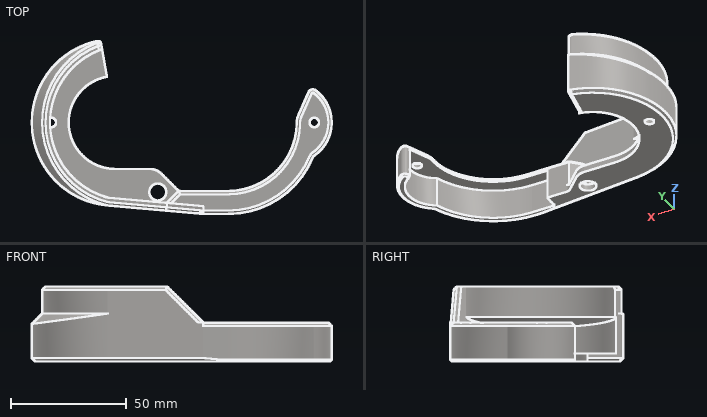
import cadquery as cq
import math

TOTAL_HEIGHT = 32.4
ARM_HEIGHT = 16.8
WALL_THICKNESS = 3.4
FLOOR_THICKNESS = WALL_THICKNESS

RING_RADIUS = 36.0
BORE_RADIUS = 20.0
RING_END_ANGLE = 100.0
RING_END_FILLET = 1.5

STEP_WIDTH = 4.5
STEP_BOTTOM = TOTAL_HEIGHT / 2
STEP_TOP = STEP_BOTTOM + STEP_WIDTH

ARM_CENTER_X = 48.8
ARM_OUTER_RADIUS = 39.5
ARM_INNER_RADIUS = 29.5
WALL_END_X = 38.0

LOBE_RADIUS = 17.35
LOBE_END_X = 93.49
TIP_LEAN = 24.0
TIP_BEND_RADIUS = 7.5
TIP_FILLET = 2.0
LOBE_NECK_FILLET = 2.0

ARM_PLATE_THICKNESS = 2.45

WEB_FILLET = 7.0
WEB_CORNER_FILLET = 2.5
WEB_CORNER = (27.4, -ARM_INNER_RADIUS)

EDGE_CHAMFER = 1.5
ARM_BOTTOM_CHAMFER = 0.8

PIN_HOLE_DIAMETER = 4.0
PIN_HOLE_CENTERS = [(-27.5, 0), (85.9, 0)]
PIVOT_HOLE_DIAMETER = 7.2
PIVOT_HOLE_CENTER = (18.4, -30.0)

FAR_X = 110.0


def polar(radius, degrees, center_x=0.0):
    angle = math.radians(degrees)
    return (center_x + radius * math.cos(angle), radius * math.sin(angle))


corner_distance = math.hypot(WALL_END_X, ARM_OUTER_RADIUS)
WALL_SLANT = math.degrees(
    math.acos(RING_RADIUS / corner_distance) - math.atan2(WALL_END_X, ARM_OUTER_RADIUS)
)
TANGENT_ANGLE = 270.0 - WALL_SLANT
TANGENT_X, TANGENT_Y = polar(RING_RADIUS, TANGENT_ANGLE)

narrow_left = RING_RADIUS - STEP_WIDTH
NARROW_RADIUS = ((narrow_left + TANGENT_X) ** 2 + TANGENT_Y**2) / (2 * (narrow_left + TANGENT_X))
NARROW_CENTER_X = NARROW_RADIUS - narrow_left

LOBE_CENTER_X = LOBE_END_X - LOBE_RADIUS


def arc_wall_hit(radius, center_x, inset):
    """Point where an arc centred on the X axis runs into the straight wall, moved in by inset."""
    normal_x, normal_y = polar(1.0, TANGENT_ANGLE)
    along = RING_RADIUS - inset - center_x * normal_x
    across = math.sqrt(max(radius**2 - along**2, 0.0))
    return (
        center_x + along * normal_x + across * normal_y,
        along * normal_y - across * normal_x,
    )


def arc_end_hit(radius, center_x):
    """Point where an arc centred on the X axis meets the radial end plane of the ring."""
    end_x, end_y = polar(1.0, RING_END_ANGLE)
    reach = center_x * end_x + math.sqrt(radius**2 - (center_x * end_y) ** 2)
    return (reach * end_x, reach * end_y)


def region_inside_wall(radius, center_x, inset, bottom, top):
    """Prism of everything inside a wall face made of the ring arc and the straight wall.

    The far side is left open: it runs past the arm, so only the wall face trims the part.
    """
    bore_end = polar(BORE_RADIUS, RING_END_ANGLE)
    wall_start = arc_wall_hit(radius, center_x, inset)
    wall_drop = (FAR_X - wall_start[0]) * math.tan(math.radians(WALL_SLANT))
    return (
        cq.Workplane("XY", origin=(0, 0, bottom))
        .moveTo(*arc_end_hit(radius, center_x))
        .threePointArc((center_x - radius, 0), wall_start)
        .lineTo(FAR_X, wall_start[1] - wall_drop)
        .lineTo(FAR_X, bore_end[1])
        .lineTo(*bore_end)
        .close()
        .extrude(top - bottom)
    )


def wall_rim_edges():
    """Selects, on a flat face, the edges along the wall face and the ring end."""
    ring = cq.selectors.BoxSelector((-FAR_X, -FAR_X, -FAR_X), (0, FAR_X, FAR_X))
    straight = cq.selectors.BoxSelector((0, -FAR_X, -FAR_X), (FAR_X / 2 + 1, -BORE_RADIUS, FAR_X))
    return ring + straight


def sloping_end_edge():
    """Selects the outer edge of the wall's 45 degree end."""
    middle_z = (ARM_HEIGHT + TOTAL_HEIGHT) / 2
    middle_x = WALL_END_X - (middle_z - ARM_HEIGHT)
    middle_y = TANGENT_Y - (middle_x - TANGENT_X) * math.tan(math.radians(WALL_SLANT))
    return cq.selectors.NearestToPointSelector((middle_x, middle_y, middle_z))


def fillet_upright_edge(body, corner, radius):
    middle_z = body.val().BoundingBox().center.z
    nearest = cq.selectors.NearestToPointSelector((*corner, middle_z))
    return body.edges("|Z").edges(nearest).fillet(radius)


def step_cone(inset):
    """Cone that joins the ring radius to the narrowed wall, with a block over the straight wall."""
    top_radius = NARROW_RADIUS - inset
    top = STEP_TOP - inset * math.tan(math.pi / 8)
    bottom_radius = top_radius + STEP_WIDTH
    cone = (
        cq.Workplane("XZ")
        .polyline([
            (0, top - STEP_WIDTH),
            (bottom_radius, top - STEP_WIDTH),
            (top_radius, top),
            (0, top),
        ])
        .close()
        .revolve(360, (0, 0, 0), (0, 1, 0))
        .translate((NARROW_CENTER_X, 0, 0))
    )
    straight_start = arc_wall_hit(RING_RADIUS - inset, 0, inset)[0]
    block = cq.Workplane("XY").box(
        FAR_X, FAR_X, STEP_WIDTH, centered=(False, True, False)
    ).translate((straight_start, 0, top - STEP_WIDTH))
    return cone.union(block), top - STEP_WIDTH, top


def build_envelope():
    """Solid bounded by the outer wall face, the step, the sloping wall end and their chamfers."""
    cone, cone_bottom, cone_top = step_cone(0)
    lower = region_inside_wall(RING_RADIUS, 0, 0, 0, cone_top)
    lower = fillet_upright_edge(lower, arc_end_hit(RING_RADIUS, 0), RING_END_FILLET)
    lower = lower.faces("<Z").edges(wall_rim_edges()).chamfer(EDGE_CHAMFER)
    above_step = cq.Workplane("XY").box(
        4 * FAR_X, 4 * FAR_X, cone_top - cone_bottom, centered=(True, True, False)
    ).translate((0, 0, cone_bottom))
    lower = lower.cut(above_step.cut(cone))

    shoulder = TOTAL_HEIGHT - EDGE_CHAMFER
    upper = region_inside_wall(NARROW_RADIUS, NARROW_CENTER_X, 0, cone_top, shoulder)
    narrow_end = arc_end_hit(NARROW_RADIUS, NARROW_CENTER_X)
    upper = fillet_upright_edge(upper, narrow_end, RING_END_FILLET)
    rim_chamfer = upper.faces(">Z").wires().toPending().extrude(EDGE_CHAMFER, combine=False, taper=45)
    return lower.union(upper).union(rim_chamfer).intersect(build_sloping_end())


def build_sloping_end():
    """Block behind the plane of the straight wall, cut to the wall's 45 degree end and chamfered."""
    slant = math.tan(math.radians(WALL_SLANT))
    block = (
        cq.Workplane("XY")
        .moveTo(-FAR_X, TANGENT_Y + (FAR_X + TANGENT_X) * slant)
        .lineTo(FAR_X, TANGENT_Y - (FAR_X - TANGENT_X) * slant)
        .lineTo(FAR_X, FAR_X)
        .lineTo(-FAR_X, FAR_X)
        .close()
        .extrude(TOTAL_HEIGHT)
        .cut(above_sloping_end())
    )
    return block.edges(sloping_end_edge()).chamfer(EDGE_CHAMFER)


def above_sloping_end():
    """Space above the 45 degree end of the wall and above the arm."""
    slope_run = TOTAL_HEIGHT - ARM_HEIGHT
    return (
        cq.Workplane("XZ")
        .polyline([
            (WALL_END_X - slope_run, TOTAL_HEIGHT),
            (WALL_END_X, ARM_HEIGHT),
            (FAR_X, ARM_HEIGHT),
            (FAR_X, TOTAL_HEIGHT),
        ])
        .close()
        .extrude(FAR_X, both=True)
    )


def build_cavity():
    """Space inside the wall, which keeps the same thickness past the step."""
    cone, cone_bottom, cone_top = step_cone(WALL_THICKNESS)
    inner_radius = RING_RADIUS - WALL_THICKNESS
    narrow_radius = NARROW_RADIUS - WALL_THICKNESS
    lower = region_inside_wall(inner_radius, 0, WALL_THICKNESS, 0, cone_bottom)
    middle = region_inside_wall(inner_radius, 0, WALL_THICKNESS, cone_bottom, cone_top)
    upper = region_inside_wall(
        narrow_radius, NARROW_CENTER_X, WALL_THICKNESS, cone_top, TOTAL_HEIGHT
    )
    return lower.union(middle.intersect(cone)).union(upper)


def build_wall():
    wall = build_envelope().cut(build_cavity())
    past_wall = cq.Workplane("XY").box(
        FAR_X, 2 * FAR_X, TOTAL_HEIGHT, centered=(False, True, False)
    ).translate((WALL_END_X, 0, 0))
    return wall.cut(past_wall)


def build_floor():
    """Flat web from the bore to the wall; its 45 degree flank runs down to the arm."""
    web_corner_x, web_corner_y = WEB_CORNER
    flank_rise = -BORE_RADIUS - web_corner_y
    flank_top = (web_corner_x - flank_rise, -BORE_RADIUS)
    floor = (
        cq.Workplane("XY")
        .moveTo(*polar(BORE_RADIUS, RING_END_ANGLE))
        .threePointArc((-BORE_RADIUS, 0), (0, -BORE_RADIUS))
        .lineTo(*flank_top)
        .lineTo(*WEB_CORNER)
        .lineTo(WALL_END_X, web_corner_y)
        .lineTo(WALL_END_X, -ARM_OUTER_RADIUS)
        .lineTo(TANGENT_X, TANGENT_Y)
        .threePointArc((-RING_RADIUS, 0), polar(RING_RADIUS, RING_END_ANGLE))
        .close()
        .extrude(FLOOR_THICKNESS)
    )
    for corner, radius in [(flank_top, WEB_FILLET), (WEB_CORNER, WEB_CORNER_FILLET)]:
        floor = fillet_upright_edge(floor, corner, radius)
    return floor


def build_arm():
    """Straight bar, concentric arcs and the pointed lobe at the free end."""
    web_corner_x, web_corner_y = WEB_CORNER
    slant = math.tan(math.radians(WALL_SLANT))
    wall_y_at_corner = -ARM_OUTER_RADIUS + (WALL_END_X - web_corner_x) * slant
    end_run = (web_corner_y - wall_y_at_corner) / (1 + slant)
    bar_end = (web_corner_x - end_run, web_corner_y - end_run)

    spacing = LOBE_CENTER_X - ARM_CENTER_X
    neck_reach = (ARM_OUTER_RADIUS**2 - LOBE_RADIUS**2 + spacing**2) / (2 * spacing)
    neck = (ARM_CENTER_X + neck_reach, -math.sqrt(ARM_OUTER_RADIUS**2 - neck_reach**2))

    bend_center_x = ARM_CENTER_X + ARM_INNER_RADIUS + TIP_BEND_RADIUS
    bend_middle = polar(TIP_BEND_RADIUS, 180 - TIP_LEAN / 2, bend_center_x)
    bend_end = polar(TIP_BEND_RADIUS, 180 - TIP_LEAN, bend_center_x)
    lean_x, lean_y = polar(1.0, 90 - TIP_LEAN)
    offset_x = bend_end[0] - LOBE_CENTER_X
    along = offset_x * lean_x + bend_end[1] * lean_y
    tip_reach = math.sqrt(along**2 - offset_x**2 - bend_end[1] ** 2 + LOBE_RADIUS**2) - along
    tip = (bend_end[0] + tip_reach * lean_x, bend_end[1] + tip_reach * lean_y)

    arm = (
        cq.Workplane("XY")
        .moveTo(*bar_end)
        .lineTo(WALL_END_X, -ARM_OUTER_RADIUS)
        .lineTo(ARM_CENTER_X, -ARM_OUTER_RADIUS)
        .threePointArc(polar(ARM_OUTER_RADIUS, -60, ARM_CENTER_X), neck)
        .threePointArc((LOBE_END_X, 0), tip)
        .lineTo(*bend_end)
        .threePointArc(bend_middle, (ARM_CENTER_X + ARM_INNER_RADIUS, 0))
        .threePointArc(polar(ARM_INNER_RADIUS, -45, ARM_CENTER_X), (ARM_CENTER_X, -ARM_INNER_RADIUS))
        .lineTo(*WEB_CORNER)
        .close()
        .extrude(ARM_HEIGHT)
    )
    for corner, radius in [(neck, LOBE_NECK_FILLET), (tip, TIP_FILLET)]:
        arm = fillet_upright_edge(arm, corner, radius)
    arm = arm.faces(">Z").edges().chamfer(EDGE_CHAMFER)
    arm = arm.faces("<Z").edges().chamfer(ARM_BOTTOM_CHAMFER)
    return arm.cut(build_arm_hollow())


def build_arm_hollow():
    """Space below the arm's plate and inside its skirt, from the end of the wall to the tip."""
    bend_radius = ARM_OUTER_RADIUS - WALL_THICKNESS
    height = ARM_HEIGHT - ARM_PLATE_THICKNESS
    bar = cq.Workplane("XY").box(
        ARM_CENTER_X - WALL_END_X, bend_radius, height, centered=False
    ).translate((WALL_END_X, -bend_radius, 0))
    bend = cq.Workplane("XY").center(ARM_CENTER_X, 0).circle(bend_radius).extrude(height)
    behind_bar = cq.Workplane("XY").box(
        FAR_X, FAR_X, height, centered=(False, True, False)
    ).translate((WALL_END_X - FAR_X, 0, 0))
    lobe_radius = LOBE_RADIUS - WALL_THICKNESS
    lobe = cq.Workplane("XY").center(LOBE_CENTER_X, 0).circle(lobe_radius).extrude(height)
    return bar.union(bend.cut(behind_bar)).union(lobe)


def drill(body, diameter, center, depth):
    hole = cq.Workplane("XY").center(*center).circle(diameter / 2).extrude(depth)
    return body.cut(hole)


plate = build_floor().union(build_arm()).intersect(build_envelope())
result = build_wall().union(plate).clean()
ring_pin, arm_pin = PIN_HOLE_CENTERS
result = drill(result, PIN_HOLE_DIAMETER, ring_pin, FLOOR_THICKNESS)
result = drill(result, PIN_HOLE_DIAMETER, arm_pin, ARM_HEIGHT)
result = drill(result, PIVOT_HOLE_DIAMETER, PIVOT_HOLE_CENTER, FLOOR_THICKNESS)